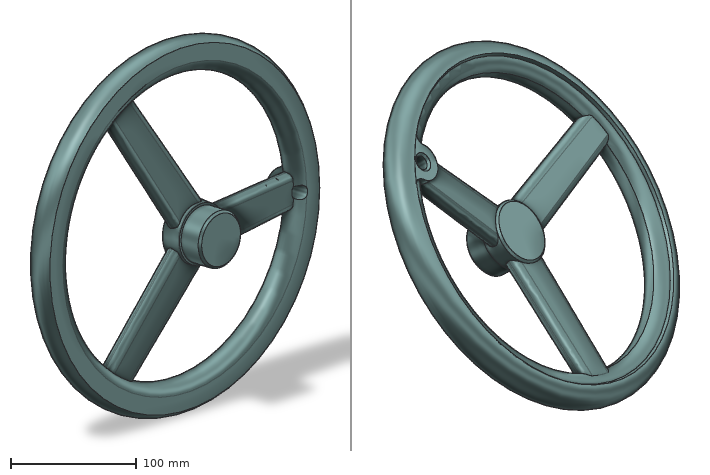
import cadquery as cq
import math

LENGTH = 67.0
WHEEL_RADIUS = 157.5

GRIP_RADIUS = 15.0
GRIP_CENTRE_RADIUS = WHEEL_RADIUS - GRIP_RADIUS
RIM_BACK_X = 26.0
RIM_INNER_RADIUS = 128.1
RIM_INNER_PEAK_X = 14.0
RIM_BACK_INNER_RADIUS = 138.0
LIP_DEPTH = 2.5
LIP_DROP = 1.5
BAND_MIDDLE = (4.2, 134.5)
BAND_END = (9.0, 129.2)

HUB_FRONT_X = RIM_BACK_X
HUB_FRONT_RADIUS = 27.3
HUB_FRONT_CHAMFER = 2.0
COLLAR_RADIUS = 52.0 / 2
COLLAR_START_X = 44.7
COLLAR_END_X = 45.8
SHAFT_RADIUS = 48.0 / 2
SHAFT_CHAMFER = 2.0

SPOKE_COUNT = 3
SPOKE_THICKNESS = 13.4
SPOKE_EDGE_RADIUS = 6.0
SPOKE_SLOPE_ANGLE = 12.2
SPOKE_INNER_RADIUS = 20.0
SPOKE_OUTER_RADIUS = 136.0
SPOKE_INNER_WIDTH = 35.8
SPOKE_OUTER_WIDTH = 31.6
SPOKE_START_X = 36.3

LUG_FRONT_X = 0.05
LUG_CENTRE_RADIUS = 133.0
LUG_RADIUS = 16.0
LUG_FLARE_RADIUS = 7.5
LUG_DEPTH = 15.0
HANDLE_HOLE_DIAMETER = 12.0
HANDLE_HOLE_MOUTH_DIAMETER = 16.0


def revolve_about_x(profile):
    """Close the profile and turn it about the X axis."""
    return profile.close().revolve(360, (0, 0, 0), (1, 0, 0))


def make_rim():
    back_offset = math.sqrt(GRIP_RADIUS**2 - (RIM_BACK_X - GRIP_RADIUS) ** 2)
    profile = (
        cq.Workplane("XY")
        .moveTo(0, GRIP_CENTRE_RADIUS)
        .threePointArc((GRIP_RADIUS, WHEEL_RADIUS), (RIM_BACK_X, GRIP_CENTRE_RADIUS + back_offset))
        .lineTo(RIM_BACK_X, RIM_BACK_INNER_RADIUS)
        .threePointArc((RIM_INNER_PEAK_X, RIM_INNER_RADIUS), BAND_END)
        .threePointArc(BAND_MIDDLE, (LIP_DEPTH, GRIP_CENTRE_RADIUS - LIP_DROP))
    )
    return revolve_about_x(profile)


def make_hub():
    profile = (
        cq.Workplane("XY")
        .moveTo(HUB_FRONT_X, 0)
        .lineTo(HUB_FRONT_X, HUB_FRONT_RADIUS - HUB_FRONT_CHAMFER)
        .lineTo(HUB_FRONT_X + HUB_FRONT_CHAMFER, HUB_FRONT_RADIUS)
        .lineTo(COLLAR_START_X, COLLAR_RADIUS)
        .lineTo(COLLAR_END_X, COLLAR_RADIUS)
        .lineTo(COLLAR_END_X, SHAFT_RADIUS)
        .lineTo(LENGTH - SHAFT_CHAMFER, SHAFT_RADIUS)
        .lineTo(LENGTH, SHAFT_RADIUS - SHAFT_CHAMFER)
        .lineTo(LENGTH, 0)
    )
    return revolve_about_x(profile)


def make_spoke():
    """Spoke along +Y, lofted between two rounded sections square to its leaning axis."""
    slope = math.radians(SPOKE_SLOPE_ANGLE)
    axis_length = (SPOKE_OUTER_RADIUS - SPOKE_INNER_RADIUS) / math.cos(slope)
    start_plane = cq.Plane(
        origin=(SPOKE_START_X, SPOKE_INNER_RADIUS, 0),
        xDir=(0, 0, 1),
        normal=(-math.sin(slope), math.cos(slope), 0),
    )
    inner = cq.Sketch().rect(SPOKE_INNER_WIDTH, SPOKE_THICKNESS).vertices().fillet(SPOKE_EDGE_RADIUS)
    outer = cq.Sketch().rect(SPOKE_OUTER_WIDTH, SPOKE_THICKNESS).vertices().fillet(SPOKE_EDGE_RADIUS)
    outer_location = cq.Location(cq.Vector(0, 0, axis_length))
    return cq.Workplane(start_plane).placeSketch(inner, outer.moved(outer_location)).loft()


def make_lug():
    """Round pad whose sides flare outward into the rim, just behind the rim front plane."""
    flare_mid = LUG_FLARE_RADIUS * (1 - math.sqrt(0.5))
    flare_end_y = LUG_CENTRE_RADIUS + LUG_FLARE_RADIUS
    flare_mid_y = flare_end_y - flare_mid
    flare_half_width = LUG_RADIUS + LUG_FLARE_RADIUS
    outer_edge_radius = math.hypot(flare_end_y, flare_half_width)
    return (
        cq.Workplane("YZ", origin=(LUG_FRONT_X, 0, 0))
        .moveTo(LUG_CENTRE_RADIUS, LUG_RADIUS)
        .threePointArc((LUG_CENTRE_RADIUS - LUG_RADIUS, 0), (LUG_CENTRE_RADIUS, -LUG_RADIUS))
        .threePointArc((flare_mid_y, -LUG_RADIUS - flare_mid), (flare_end_y, -flare_half_width))
        .threePointArc((outer_edge_radius, 0), (flare_end_y, flare_half_width))
        .threePointArc((flare_mid_y, LUG_RADIUS + flare_mid), (LUG_CENTRE_RADIUS, LUG_RADIUS))
        .close()
        .extrude(LUG_DEPTH)
    )


def make_handle_hole():
    """Through hole with a 45 degree countersink at the lug face."""
    hole_radius = HANDLE_HOLE_DIAMETER / 2
    mouth_radius = HANDLE_HOLE_MOUTH_DIAMETER / 2
    countersink_end_x = LUG_FRONT_X + mouth_radius - hole_radius
    profile = (
        cq.Workplane("XY")
        .lineTo(0, mouth_radius)
        .lineTo(LUG_FRONT_X, mouth_radius)
        .lineTo(countersink_end_x, hole_radius)
        .lineTo(RIM_BACK_X, hole_radius)
        .lineTo(RIM_BACK_X, 0)
    )
    return revolve_about_x(profile).translate((0, LUG_CENTRE_RADIUS, 0))


wheel = make_rim().union(make_hub())
spoke = make_spoke()
for index in range(SPOKE_COUNT):
    wheel = wheel.union(spoke.rotate((0, 0, 0), (1, 0, 0), index * 360 / SPOKE_COUNT))
wheel = wheel.union(make_lug())
result = wheel.cut(make_handle_hole())